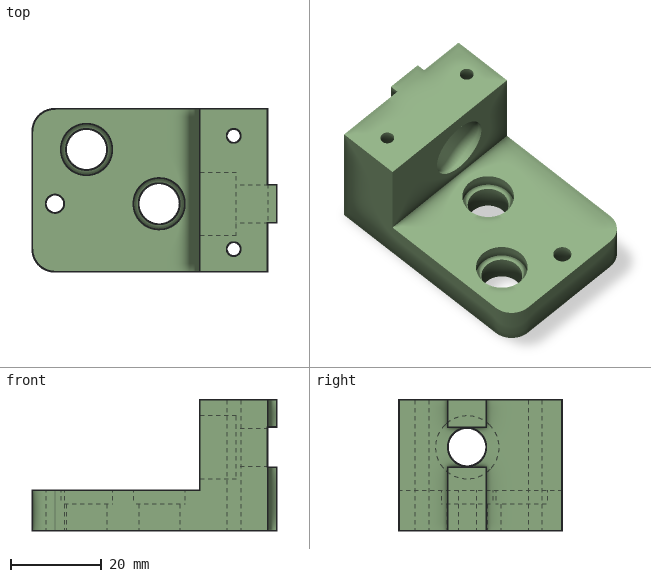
import cadquery as cq

length = 54.0
width = 36.0
height = 29.0

base_height = 9.0
corner_radius = 5.0
wall_thickness = 15.0
key_depth = 2.0
key_width = 8.4
key_gap = 8.8
wall_back_x = length - key_depth
wall_front_x = wall_back_x - wall_thickness
wall_mid_x = wall_back_x - wall_thickness / 2

axis_y = -2.95

bore_z = 18.5
bore_diameter = 8.4
bore_recess_diameter = 14.0
bore_recess_depth = 8.0

base_hole_diameter = 9.0
base_recess_diameter = 11.4
base_recess_depth = 3.0
base_hole_centers = [(12.0, 9.0), (28.0, axis_y)]

pin_hole_diameter = 4.0
pin_hole_x = 5.0
screw_hole_diameter = 3.0
screw_spacing = 25.0
screw_mid_y = -0.5


def block(x_start, x_end, center_y, block_width, z_start, z_end):
    """Box between two X and two Z limits, centred on center_y."""
    return (
        cq.Workplane("XY")
        .box(x_end - x_start, block_width, z_end - z_start, centered=(False, True, False))
        .translate((x_start, center_y, z_start))
    )


def upright_cylinder(center, diameter, z_start, z_end):
    """Vertical cylinder between two heights."""
    return (
        cq.Workplane("XY", origin=(center[0], center[1], z_start))
        .circle(diameter / 2)
        .extrude(z_end - z_start)
    )


def bore_cylinder(diameter, x_start, x_end):
    """Cylinder along X on the axis of the wall bore."""
    return (
        cq.Workplane("YZ", origin=(x_start, axis_y, bore_z))
        .circle(diameter / 2)
        .extrude(x_end - x_start)
    )


base = block(0, wall_back_x, 0, width, 0, base_height)
base = base.edges("|Z and <X").fillet(corner_radius)
wall = block(wall_front_x, wall_back_x, 0, width, 0, height)

key = block(wall_back_x, length, axis_y, key_width, 0, height)
key = key.cut(
    block(wall_back_x, length, axis_y, key_width, bore_z - key_gap / 2, bore_z + key_gap / 2)
)
result = base.union(wall).union(key)

result = result.cut(bore_cylinder(bore_diameter, wall_front_x, wall_back_x))
result = result.cut(
    bore_cylinder(bore_recess_diameter, wall_front_x, wall_front_x + bore_recess_depth)
)

for center in base_hole_centers:
    result = result.cut(upright_cylinder(center, base_hole_diameter, 0, base_height))
    result = result.cut(
        upright_cylinder(center, base_recess_diameter, base_height - base_recess_depth, base_height)
    )

result = result.cut(upright_cylinder((pin_hole_x, axis_y), pin_hole_diameter, 0, base_height))

for side in (-1, 1):
    screw_center = (wall_mid_x, screw_mid_y + side * screw_spacing / 2)
    result = result.cut(upright_cylinder(screw_center, screw_hole_diameter, 0, height))